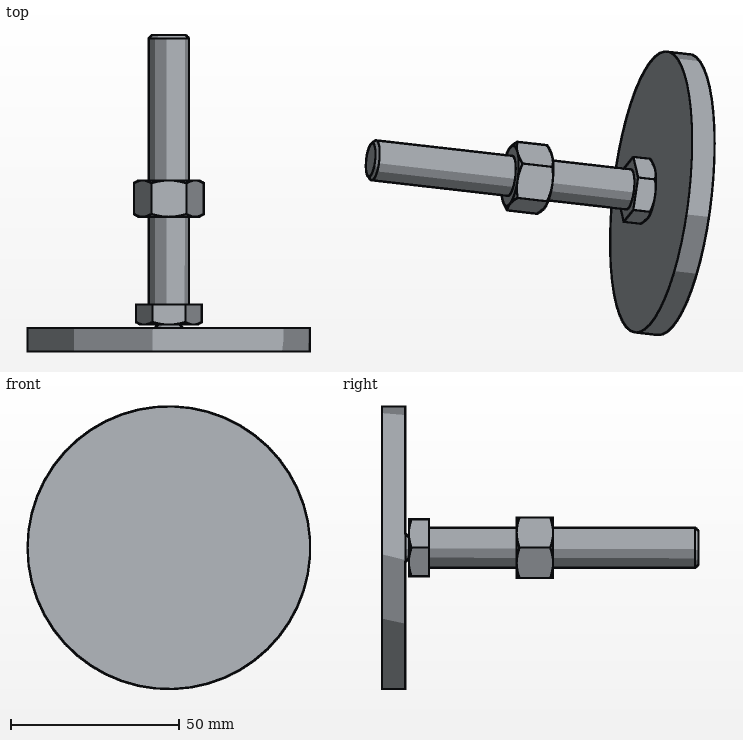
import cadquery as cq
import math


PAD_DIAMETER = 84.0
PAD_THICKNESS = 7.0

OVERALL_LENGTH = 94.0
SHANK_DIAMETER = 12.0
TIP_CHAMFER = 1.0
NECK_LENGTH = 1.0
NECK_TOP_DIAMETER = 6.4
NECK_FLARE_ANGLE = 45.0
HEXAGON_WIDTH = 17.0
HEXAGON_HEIGHT = 6.0

NUT_WIDTH = 18.0
NUT_HEIGHT = 10.8
NUT_BASE = 40.0

HALF_FLAT_ANGLE = 30.0

CORNER_CHAMFER_ANGLE = 30.0

HEXAGON_BASE = PAD_THICKNESS + NECK_LENGTH
SHANK_BASE = HEXAGON_BASE + HEXAGON_HEIGHT
SHANK_LENGTH = OVERALL_LENGTH - SHANK_BASE
NECK_FLARE = NECK_LENGTH * math.tan(math.radians(NECK_FLARE_ANGLE))
NECK_TOP_RADIUS = NECK_TOP_DIAMETER / 2
NECK_BASE_RADIUS = NECK_TOP_RADIUS + NECK_FLARE


def plane_at(y):
    """Plane across the axis at the given Y, with its normal along +Y."""
    return cq.Workplane(cq.Plane(origin=(0, y, 0), xDir=(-1, 0, 0), normal=(0, 1, 0)))


def cylinder(base, diameter, length):
    return plane_at(base).circle(diameter / 2).extrude(length)


def hexagon(base, width, height, chamfer_far_end):
    """Hexagonal prism with corners on the X axis, its corners chamfered by a cone.

    The near end is always chamfered; the far end only when asked for.
    """
    corner_radius = width / 2 / math.cos(math.radians(HALF_FLAT_ANGLE))
    prism = plane_at(base).polygon(6, 2 * corner_radius).extrude(height)

    face_radius = width / 2
    drop = (corner_radius - face_radius) * math.tan(math.radians(CORNER_CHAMFER_ANGLE))
    top = base + height
    outline = cq.Workplane("XY").moveTo(0, base).lineTo(face_radius, base).lineTo(corner_radius, base + drop)
    if chamfer_far_end:
        outline = outline.lineTo(corner_radius, top - drop).lineTo(face_radius, top)
    else:
        outline = outline.lineTo(corner_radius, top)
    envelope = outline.lineTo(0, top).close().revolve(360, (0, 0, 0), (0, 1, 0))
    return prism.intersect(envelope)


def make_pad():
    return cylinder(0, PAD_DIAMETER, PAD_THICKNESS)


def make_spindle():
    neck = (
        cq.Workplane("XY")
        .moveTo(0, PAD_THICKNESS)
        .lineTo(NECK_BASE_RADIUS, PAD_THICKNESS)
        .lineTo(NECK_TOP_RADIUS, HEXAGON_BASE)
        .lineTo(0, HEXAGON_BASE)
        .close()
        .revolve(360, (0, 0, 0), (0, 1, 0))
    )
    head = hexagon(HEXAGON_BASE, HEXAGON_WIDTH, HEXAGON_HEIGHT, chamfer_far_end=False)
    shank = cylinder(SHANK_BASE, SHANK_DIAMETER, SHANK_LENGTH).faces(">Y").chamfer(TIP_CHAMFER)
    return neck.union(head).union(shank)


def make_nut():
    blank = hexagon(NUT_BASE, NUT_WIDTH, NUT_HEIGHT, chamfer_far_end=True)
    bore = cylinder(NUT_BASE, SHANK_DIAMETER, NUT_HEIGHT)
    return blank.cut(bore)


pad = make_pad()
spindle = make_spindle()
nut = make_nut()

result = cq.Compound.makeCompound([pad.val(), spindle.val(), nut.val()])